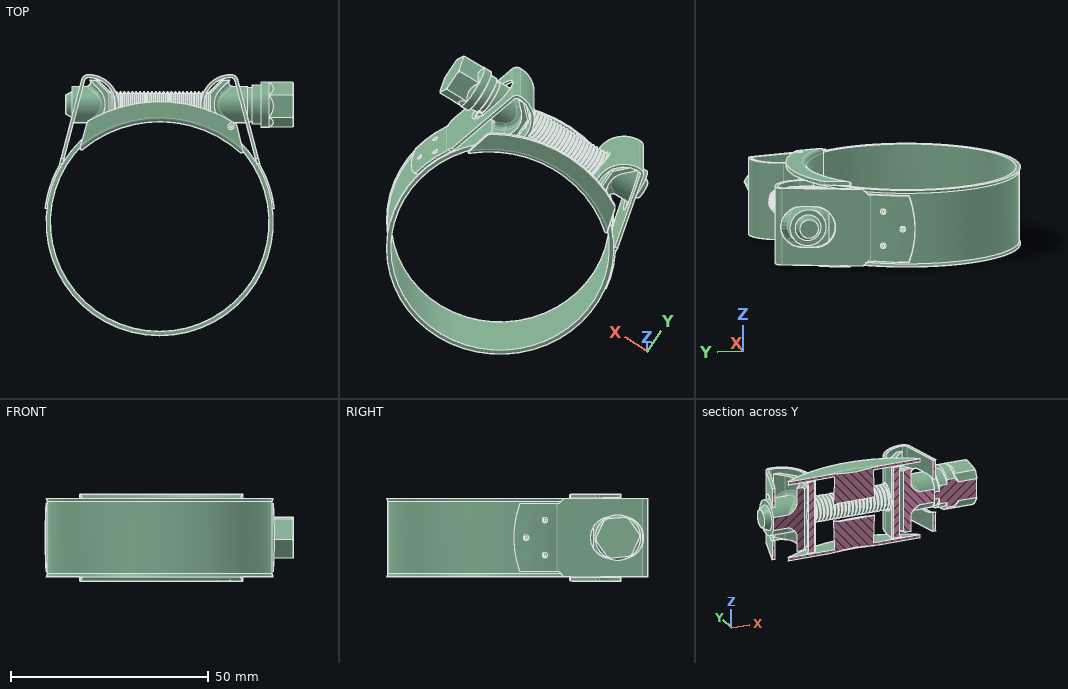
import cadquery as cq
import math

STRIP = 0.8
RING_OUTER = 28.55
RING_INNER = 27.7
RIM_LIFT = 0.25
RIM_HEIGHT = 0.8
BAND_HALF = 9.9

AXIS_Y = 29.8

LOOP_OUTER = 7.6
LOOP_X = 18.1
CORNER_RADIUS = 1.4
LEG_TILT = math.radians(14.7)
BOLT_HOLE_RADIUS = 3.65
WINDOW_LENGTH = 13.45
WINDOW_WIDTH = 10.6
WINDOW_Y = 29.6

TAB_HALF = 8.6
TAB_SINK = 0.05
TAB_TAPER_Y = 14.85
TAB_CORNER_Y = 4.95
TAB_END_Y = 3.45

DIMPLE_RADIUS = 0.8
DIMPLE_FLOOR_RADIUS = 0.3
DIMPLE_DEPTH = 0.4
DIMPLE_LIFT = 0.05
TAB_DIMPLES = [(11.3, 4.45), (11.3, -4.45), (6.55, 0.0)]
BRIDGE_DIMPLE = (18.1, 24.3)

BRIDGE_CENTER_Y = -5.15
BRIDGE_INNER = 30.6
BRIDGE_FLANGE_TOP = 35.75
BRIDGE_HALF = 11.05
BRIDGE_BASE = 0.65
BRIDGE_FLANGE = 1.0
BRIDGE_TOP_HALF = 18.95
BRIDGE_END_HALF = 20.7
BRIDGE_CORNER = 1.65
BRIDGE_END_ROUND = 0.4
BRIDGE_EDGE = 1.05
BRIDGE_TURN = -1.1
BRIDGE_SLOT_LENGTH = 14.3
BRIDGE_SLOT_WIDTH = 4.95

SLEEVE_RADIUS = 4.65
SLEEVE_END_X = 22.25
SADDLE_HALF = 8.8
SADDLE_FACE_X = 12.4
SADDLE_FLAT_HALF = 3.05
SADDLE_TIP = 6.2
SADDLE_HOLLOW_X = 19.4
SADDLE_HOLLOW_RADIUS = 5.55
SADDLE_CHAMFER = 0.45
SLEEVE_FILLET = 1.0

BOLT_RADIUS = 3.3
BOLT_TIP_X = -23.85
BOLT_TIP_RADIUS = 2.4
BOLT_CONE = 1.6
THREAD_ROOT = 2.7
THREAD_PITCH = 1.0
THREAD_START_X = -11.9
THREAD_TURNS = 25
THREAD_LAND = 0.1
NECK_RADIUS = 4.4
COLLAR_X = 23.45
COLLAR_RADIUS = 4.95
FLANGE_X = 25.6
HEX_X = 27.75
HEAD_END_X = 33.9
HEAD_RADIUS = 5.75
HEX_TURN = 5.0
HEAD_CONE = 1.05
HEAD_CHAMFER = 0.25

tab_outer = RING_OUTER + STRIP - TAB_SINK
tab_mid = tab_outer - STRIP / 2
loop_mid = LOOP_OUTER - STRIP / 2
foot_mid = (RING_INNER + RING_OUTER) / 2
leg_x = LOOP_X - loop_mid
leg_foot_y = math.sqrt(foot_mid ** 2 - leg_x ** 2)


def mirrored(body):
    """The same body on the other side of the YZ plane."""
    return body.mirror("YZ")


def dimple():
    """Tapered dimple cutter, widest at z = 0 and narrowing along +Z."""
    return cq.Solid.makeCone(DIMPLE_RADIUS, DIMPLE_FLOOR_RADIUS, DIMPLE_DEPTH)


def ring():
    flat_half = BAND_HALF - RIM_HEIGHT
    section = [
        (RING_INNER, -BAND_HALF),
        (RING_OUTER + RIM_LIFT, -BAND_HALF),
        (RING_OUTER, -flat_half),
        (RING_OUTER, flat_half),
        (RING_OUTER + RIM_LIFT, BAND_HALF),
        (RING_INNER, BAND_HALF),
    ]
    body = cq.Workplane("XZ").polyline(section).close().revolve(360, (0, 0), (0, 1))
    gap = cq.Workplane("XY").box(2 * leg_x, 2 * LOOP_OUTER, 3 * BAND_HALF).translate((0, RING_OUTER, 0))
    return body.cut(gap)


def lug_path():
    """Mid-line of the left lug: inner leg, loop, corner, outer leg and overlapping tab."""
    top_y = AXIS_Y + loop_mid
    diagonal = loop_mid * math.sqrt(0.5)

    corner_y = top_y - CORNER_RADIUS
    half_turn = (math.pi / 2 + LEG_TILT) / 2
    corner_mid = (
        -LOOP_X - CORNER_RADIUS * math.cos(half_turn),
        corner_y + CORNER_RADIUS * math.sin(half_turn),
    )
    leg_top = (
        -LOOP_X - CORNER_RADIUS * math.cos(LEG_TILT),
        corner_y + CORNER_RADIUS * math.sin(LEG_TILT),
    )
    along = leg_top[0] * math.sin(LEG_TILT) + leg_top[1] * math.cos(LEG_TILT)
    square_gap = leg_top[0] ** 2 + leg_top[1] ** 2 - tab_mid ** 2
    leg_length = along - math.sqrt(along ** 2 - square_gap)
    bend = (
        leg_top[0] - leg_length * math.sin(LEG_TILT),
        leg_top[1] - leg_length * math.cos(LEG_TILT),
    )
    bend_angle = math.atan2(bend[1], bend[0])
    middle_angle = (bend_angle + math.pi) / 2
    return (
        cq.Workplane("XY")
        .moveTo(-leg_x, leg_foot_y)
        .lineTo(-leg_x, AXIS_Y)
        .threePointArc((-LOOP_X + diagonal, AXIS_Y + diagonal), (-LOOP_X, top_y))
        .threePointArc(corner_mid, leg_top)
        .lineTo(*bend)
        .threePointArc((tab_mid * math.cos(middle_angle), tab_mid * math.sin(middle_angle)), (-tab_mid, 0))
    )


def lug():
    path = lug_path()
    strip = (
        cq.Workplane("XZ", origin=(-leg_x, leg_foot_y, 0))
        .rect(STRIP, 2 * BAND_HALF)
        .sweep(path, transition="right")
    )
    top_y = AXIS_Y + 2 * LOOP_OUTER
    taper_top = TAB_TAPER_Y + BAND_HALF - TAB_HALF
    outline = (
        cq.Workplane("YZ")
        .moveTo(top_y, -BAND_HALF)
        .lineTo(taper_top, -BAND_HALF)
        .lineTo(TAB_TAPER_Y, -TAB_HALF)
        .lineTo(TAB_CORNER_Y, -TAB_HALF)
        .threePointArc((TAB_END_Y, 0), (TAB_CORNER_Y, TAB_HALF))
        .lineTo(TAB_TAPER_Y, TAB_HALF)
        .lineTo(taper_top, BAND_HALF)
        .lineTo(top_y, BAND_HALF)
        .close()
        .extrude(-2 * RING_OUTER)
    )
    strip = strip.intersect(outline)

    window = (
        cq.Workplane("YZ", origin=(-LOOP_X, WINDOW_Y, 0))
        .slot2D(WINDOW_LENGTH, WINDOW_WIDTH)
        .extrude(-LOOP_X)
    )
    bolt_hole = cq.Workplane("YZ", origin=(-LOOP_X, AXIS_Y, 0)).circle(BOLT_HOLE_RADIUS).extrude(LOOP_X)
    strip = strip.cut(window).cut(bolt_hole)

    for y, z in TAB_DIMPLES:
        angle = 180 - math.degrees(math.asin(y / tab_outer))
        cutter = dimple().rotate(cq.Vector(), cq.Vector(0, 1, 0), -90)
        cutter = cutter.translate(cq.Vector(tab_outer + DIMPLE_LIFT, 0, z))
        cutter = cutter.rotate(cq.Vector(), cq.Vector(0, 0, 1), angle)
        strip = strip.cut(cq.Workplane(cutter))
    return strip


def make_band():
    left_lug = lug()
    return ring().union(left_lug).union(mirrored(left_lug))


def bridge_channel():
    """U section, open outward, turned about the centre of the bridge arcs."""
    height = 2 * BRIDGE_HALF
    radial = BRIDGE_FLANGE_TOP - BRIDGE_INNER + BRIDGE_CORNER
    section = cq.Sketch().push([(BRIDGE_INNER + radial / 2, 0)]).rect(radial, height)
    section = section.reset().vertices("<X").fillet(BRIDGE_EDGE).reset()
    section = section.push([(BRIDGE_INNER + BRIDGE_BASE + radial / 2, 0)])
    section = section.rect(radial, height - 2 * BRIDGE_FLANGE, mode="s")
    channel = cq.Workplane("XZ").placeSketch(section).revolve(360, (0, 0), (0, 1))
    return channel.translate((0, BRIDGE_CENTER_Y, 0))


def make_bridge():
    def on_arc(radius, x):
        return (x, BRIDGE_CENTER_Y + math.sqrt(radius ** 2 - x ** 2))

    top_right = on_arc(BRIDGE_FLANGE_TOP, BRIDGE_TOP_HALF)
    end_right = on_arc(BRIDGE_INNER + BRIDGE_BASE, BRIDGE_END_HALF)
    shrink = BRIDGE_INNER / (BRIDGE_INNER + BRIDGE_BASE)
    foot_right = on_arc(BRIDGE_INNER, BRIDGE_END_HALF * shrink)
    outline = (
        cq.Workplane("XY")
        .moveTo(*foot_right)
        .lineTo(*end_right)
        .lineTo(*top_right)
        .threePointArc(on_arc(BRIDGE_FLANGE_TOP, 0), (-top_right[0], top_right[1]))
        .lineTo(-end_right[0], end_right[1])
        .lineTo(-foot_right[0], foot_right[1])
        .threePointArc(on_arc(BRIDGE_INNER, 0), foot_right)
        .close()
        .extrude(BRIDGE_HALF, both=True)
    )
    corners = cq.selectors.BoxSelector(
        (-BRIDGE_END_HALF, top_right[1] - BRIDGE_CORNER, -BRIDGE_HALF),
        (BRIDGE_END_HALF, top_right[1] + BRIDGE_CORNER, BRIDGE_HALF),
    )
    outline = outline.edges("|Z").edges(corners).fillet(BRIDGE_CORNER)
    outline = outline.edges("|Z").edges("<Y").fillet(BRIDGE_END_ROUND)
    body = bridge_channel().intersect(outline)

    slot = cq.Workplane("XZ").slot2D(BRIDGE_SLOT_LENGTH, BRIDGE_SLOT_WIDTH).extrude(-BRIDGE_FLANGE_TOP)
    body = body.cut(slot)
    body = body.rotate((0, BRIDGE_CENTER_Y, 0), (0, BRIDGE_CENTER_Y, 1), BRIDGE_TURN)

    x, y = BRIDGE_DIMPLE
    cutter = dimple().rotate(cq.Vector(), cq.Vector(1, 0, 0), 180)
    return body.cut(cq.Workplane(cutter.translate(cq.Vector(x, y, BRIDGE_HALF))))


def make_trunnion(side):
    """Bent saddle bearing in the loop, with a sleeve out through the outer leg."""
    lean = SADDLE_HOLLOW_RADIUS * math.sqrt(0.5)
    face_x = -SADDLE_FACE_X
    tip_outer_x = face_x - (SADDLE_TIP - SADDLE_FLAT_HALF)
    tip_inner_x = -SADDLE_HOLLOW_X + lean - (SADDLE_TIP - lean)
    saddle = (
        cq.Workplane("XY", origin=(0, AXIS_Y, 0))
        .moveTo(tip_outer_x, -SADDLE_TIP)
        .lineTo(face_x, -SADDLE_FLAT_HALF)
        .lineTo(face_x, SADDLE_FLAT_HALF)
        .lineTo(tip_outer_x, SADDLE_TIP)
        .lineTo(tip_inner_x, SADDLE_TIP)
        .lineTo(-SADDLE_HOLLOW_X + lean, lean)
        .threePointArc((-SADDLE_HOLLOW_X + SADDLE_HOLLOW_RADIUS, 0), (-SADDLE_HOLLOW_X + lean, -lean))
        .lineTo(tip_inner_x, -SADDLE_TIP)
        .close()
        .extrude(SADDLE_HALF, both=True)
    )
    saddle_rim = cq.selectors.BoxSelector(
        (tip_outer_x, AXIS_Y - SADDLE_TIP, -2 * SADDLE_HALF),
        (0, AXIS_Y + SADDLE_TIP, 2 * SADDLE_HALF),
    )
    saddle = saddle.faces("|Z").edges(saddle_rim).edges("not %CIRCLE").chamfer(SADDLE_CHAMFER)

    sleeve = cq.Workplane("YZ", origin=(-SLEEVE_END_X, AXIS_Y, 0)).circle(SLEEVE_RADIUS).extrude(SLEEVE_END_X)
    stop = (
        cq.Workplane("XY", origin=(0, AXIS_Y, 0))
        .moveTo(face_x, -SADDLE_FLAT_HALF)
        .lineTo(face_x, SADDLE_FLAT_HALF)
        .lineTo(tip_outer_x, SADDLE_TIP)
        .lineTo(-SLEEVE_END_X, SADDLE_TIP)
        .lineTo(-SLEEVE_END_X, -SADDLE_TIP)
        .lineTo(tip_outer_x, -SADDLE_TIP)
        .close()
        .extrude(SADDLE_HALF, both=True)
    )
    body = saddle.union(sleeve.intersect(stop))
    body = body.edges("%ELLIPSE or %BSPLINE").fillet(SLEEVE_FILLET)

    ring_seat = cq.Workplane("XY").circle(RING_OUTER).extrude(SADDLE_HALF, both=True)
    bore = cq.Workplane("YZ", origin=(-SLEEVE_END_X, AXIS_Y, 0)).circle(BOLT_RADIUS).extrude(SLEEVE_END_X)
    body = body.cut(ring_seat).cut(bore)
    return body if side == "left" else mirrored(body)


def make_bolt():
    root_half = THREAD_LAND / 2
    groove_half = (THREAD_PITCH - THREAD_LAND) / 2
    profile = [
        (BOLT_TIP_X, 0),
        (BOLT_TIP_X, BOLT_TIP_RADIUS),
        (BOLT_TIP_X + BOLT_CONE, BOLT_RADIUS),
    ]
    for turn in range(THREAD_TURNS):
        groove_x = THREAD_START_X + (turn + 0.5) * THREAD_PITCH
        profile.append((groove_x - groove_half, BOLT_RADIUS))
        profile.append((groove_x - root_half, THREAD_ROOT))
        profile.append((groove_x + root_half, THREAD_ROOT))
        profile.append((groove_x + groove_half, BOLT_RADIUS))
    cone_radius = HEAD_RADIUS * math.cos(math.pi / 6)
    profile += [
        (SLEEVE_END_X, BOLT_RADIUS),
        (SLEEVE_END_X, NECK_RADIUS),
        (COLLAR_X, NECK_RADIUS),
        (COLLAR_X, COLLAR_RADIUS),
        (FLANGE_X, COLLAR_RADIUS),
        (FLANGE_X, HEAD_RADIUS),
        (HEX_X, HEAD_RADIUS),
        (HEX_X + HEAD_CONE, cone_radius),
        (HEX_X + HEAD_CONE, 0),
    ]
    shank = cq.Workplane("XY").polyline(profile).close().revolve(360, (0, 0), (1, 0))
    hexagon = (
        cq.Workplane("YZ", origin=(HEX_X, 0, 0))
        .polygon(6, 2 * HEAD_RADIUS)
        .extrude(HEAD_END_X - HEX_X)
        .rotate((0, 0, 0), (1, 0, 0), HEX_TURN)
    )
    trim = cq.Workplane("YZ", origin=(HEX_X, 0, 0)).circle(HEAD_RADIUS).extrude(HEAD_END_X - HEX_X)
    hexagon = hexagon.intersect(trim.faces(">X").chamfer(HEAD_CHAMFER))
    return shank.union(hexagon).translate((0, AXIS_Y, 0))


band = make_band()
bridge = make_bridge()
trunnions = [make_trunnion(side) for side in ("left", "right")]
bolt = make_bolt()

bodies = [band, bridge, *trunnions, bolt]
result = cq.Compound.makeCompound([body.solids().val() for body in bodies])